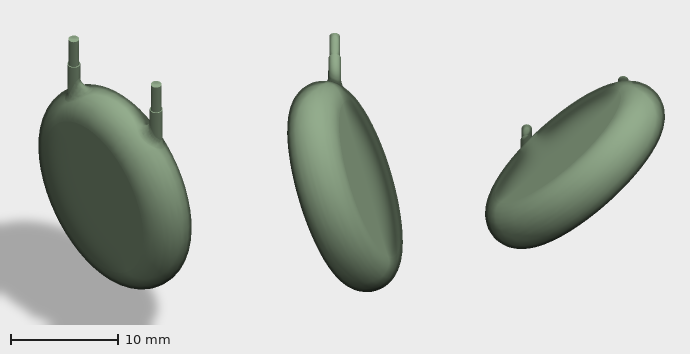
import cadquery as cq

disc_diameter = 20.3
disc_thickness = 5.0
disc_radius = disc_diameter / 2
rim_radius = disc_thickness / 2
flat_radius = disc_radius - rim_radius

total_height = 25.15
lead_spacing = 10.0
lead_offset = 1.0
wire_diameter = 1.0
coating_diameter = 1.2
bare_wire_length = 2.97
coating_fillet = 1.0

wire_top = total_height - disc_radius
coating_top = wire_top - bare_wire_length


def make_disc():
    """Revolve a half section about the Y axis, its seam at the top between the leads."""
    return (
        cq.Workplane("YZ")
        .moveTo(-rim_radius, 0)
        .lineTo(-rim_radius, flat_radius)
        .threePointArc((0, disc_radius), (rim_radius, flat_radius))
        .lineTo(rim_radius, 0)
        .close()
        .revolve(360, (0, 0, 0), (1, 0, 0))
    )


def make_rod(diameter, x, y, top):
    """Vertical rod from the disc's mid-height up to the given top, its seam facing +Y."""
    return (
        cq.Workplane("XY", origin=(x, y, 0))
        .transformed(rotate=(0, 0, 90))
        .circle(diameter / 2)
        .extrude(top)
    )


def add_lead(body, x, y):
    """Add a coating blended into the rim, with the bare wire standing out of it."""
    body = body.union(make_rod(coating_diameter, x, y, coating_top), clean=False)

    joint_zone = cq.selectors.BoxSelector(
        (x - coating_diameter, y - coating_diameter, rim_radius),
        (x + coating_diameter, y + coating_diameter, disc_radius),
    )
    body = body.edges(joint_zone).edges("not %LINE").fillet(coating_fillet)

    return body.union(make_rod(wire_diameter, x, y, wire_top))


result = make_disc()
for side in (-1, 1):
    result = add_lead(result, side * lead_spacing / 2, side * lead_offset)